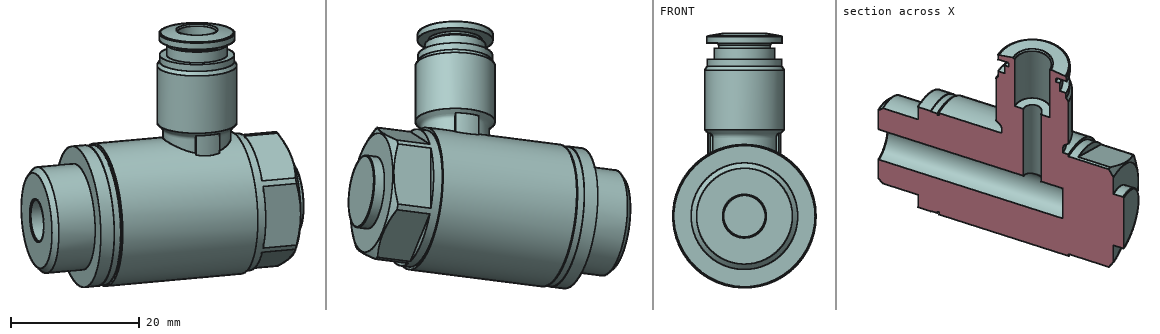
import cadquery as cq
import math

total_length = 42.2
rear_y = 15.75

plug_d = 11.4
plug_edge = 0.13
hex_station = 1.77
collar_station = 8.05
barrel_station = 9.5
barrel_end = 31.78
groove_end = 32.05
ring_step = 33.13
ring_end = 35.35
collar_d = 21.55
barrel_d = 22.4
groove_d = 21.4
washer_d = 22.0
ring_d = 22.15
spigot_d = 16.65
spigot_chamfer = 0.85

hex_across_flats = 19.1
hex_end_d = 18.75
hex_chamfer_length = 0.8

bore_d = 6.5
bore_chamfer = 0.15
bore_depth = 31.65

overall_height = 39.8
stem_top = overall_height - barrel_d / 2
lip_d = 11.8
lip_edge_d = 11.4
lip_edge_drop = 0.42
lip_side_drop = 0.55
lip_bottom_drop = 1.55
neck_d = 8.1
neck_cone_d = 8.45
neck_cone_drop = 1.9
neck_bottom_drop = 2.3
sleeve_d = 9.5
sleeve_drop = 4.05
cap_d = 11.7
cap_drop = 5.15
socket_d = 12.5
socket_top_drop = 5.8
socket_bottom_drop = 15.05
root_d = 10.65
root_fillet = 0.9
stem_base_z = 6.35

rib_outer_d = 11.4
rib_width = 3.9

tube_d = 6.0
tube_mouth_d = 6.5
tube_mouth_chamfer = (tube_mouth_d - tube_d) / 2
tube_depth = 10.55
passage_d = 3.0


def y_cylinder(diameter, start, end):
    """Cylinder on the Y axis between two stations."""
    plane = cq.Workplane("XZ", origin=(0, rear_y - start, 0))
    return plane.circle(diameter / 2).extrude(end - start)


def make_hexagon():
    length = collar_station - hex_station
    corner_d = hex_across_flats / math.cos(math.pi / 6)
    plane = cq.Workplane("XZ", origin=(0, rear_y - hex_station, 0))
    prism = plane.transformed(rotate=(0, 0, 30)).polygon(6, corner_d).extrude(length)
    envelope = (
        cq.Workplane("XY")
        .moveTo(0, rear_y - hex_station)
        .lineTo(hex_end_d / 2, rear_y - hex_station)
        .lineTo(collar_d / 2, rear_y - hex_station - hex_chamfer_length)
        .lineTo(collar_d / 2, rear_y - collar_station)
        .lineTo(0, rear_y - collar_station)
        .close()
        .revolve(360, (0, 0, 0), (0, 1, 0))
    )
    return prism.intersect(envelope)


def make_body():
    plug = y_cylinder(plug_d, 0, hex_station).faces(">Y").chamfer(plug_edge)
    spigot = y_cylinder(spigot_d, ring_end, total_length).faces("<Y").chamfer(spigot_chamfer)
    body = plug.union(make_hexagon()).union(spigot)
    sections = [
        (collar_d, collar_station, barrel_station),
        (barrel_d, barrel_station, barrel_end),
        (groove_d, barrel_end, groove_end),
        (washer_d, groove_end, ring_step),
        (ring_d, ring_step, ring_end),
    ]
    for diameter, start, end in sections:
        body = body.union(y_cylinder(diameter, start, end))
    return body


def make_stem():
    slope = math.sqrt(0.5)
    fillet_start_r = root_d / 2 + root_fillet * (1 - slope)
    fillet_start_z = stem_top - socket_bottom_drop - (socket_d / 2 - fillet_start_r)
    fillet_end_z = fillet_start_z - root_fillet * slope
    fillet_mid_r = root_d / 2 + root_fillet * (1 - math.cos(math.pi / 8))
    fillet_mid_z = fillet_end_z + root_fillet * math.sin(math.pi / 8)
    return (
        cq.Workplane("XZ")
        .moveTo(0, stem_top)
        .lineTo(tube_mouth_d / 2, stem_top)
        .lineTo(lip_edge_d / 2, stem_top - lip_edge_drop)
        .lineTo(lip_d / 2, stem_top - lip_side_drop)
        .lineTo(lip_d / 2, stem_top - lip_bottom_drop)
        .lineTo(neck_cone_d / 2, stem_top - lip_bottom_drop)
        .lineTo(neck_d / 2, stem_top - neck_cone_drop)
        .lineTo(neck_d / 2, stem_top - neck_bottom_drop)
        .lineTo(sleeve_d / 2, stem_top - neck_bottom_drop)
        .lineTo(sleeve_d / 2, stem_top - sleeve_drop)
        .lineTo(cap_d / 2, stem_top - sleeve_drop)
        .lineTo(cap_d / 2, stem_top - cap_drop)
        .lineTo(socket_d / 2, stem_top - socket_top_drop)
        .lineTo(socket_d / 2, stem_top - socket_bottom_drop)
        .lineTo(fillet_start_r, fillet_start_z)
        .threePointArc((fillet_mid_r, fillet_mid_z), (root_d / 2, fillet_end_z))
        .lineTo(root_d / 2, stem_base_z)
        .lineTo(0, stem_base_z)
        .close()
        .revolve(360, (0, 0, 0), (0, 1, 0))
    )


def make_ribs():
    height = stem_top - socket_bottom_drop - stem_base_z
    base = cq.Workplane("XY", origin=(0, 0, stem_base_z))
    bar = base.rect(socket_d, rib_width).extrude(height)
    return base.circle(rib_outer_d / 2).extrude(height).intersect(bar)


def make_bore():
    bore = y_cylinder(bore_d, total_length - bore_depth, total_length)
    mouth = (
        cq.Workplane("XZ", origin=(0, rear_y - total_length, 0))
        .circle(bore_d / 2 + bore_chamfer)
        .workplane(offset=-bore_chamfer)
        .circle(bore_d / 2)
        .loft(ruled=True)
    )
    return bore.union(mouth)


def make_tube_socket():
    top = cq.Workplane("XY", origin=(0, 0, stem_top))
    socket = top.circle(tube_d / 2).extrude(-tube_depth)
    mouth = (
        top.circle(tube_mouth_d / 2)
        .workplane(offset=-tube_mouth_chamfer)
        .circle(tube_d / 2)
        .loft(ruled=True)
    )
    passage = top.circle(passage_d / 2).extrude(-stem_top)
    return socket.union(mouth).union(passage)


result = make_body().union(make_stem()).union(make_ribs())
result = result.cut(make_bore()).cut(make_tube_socket())